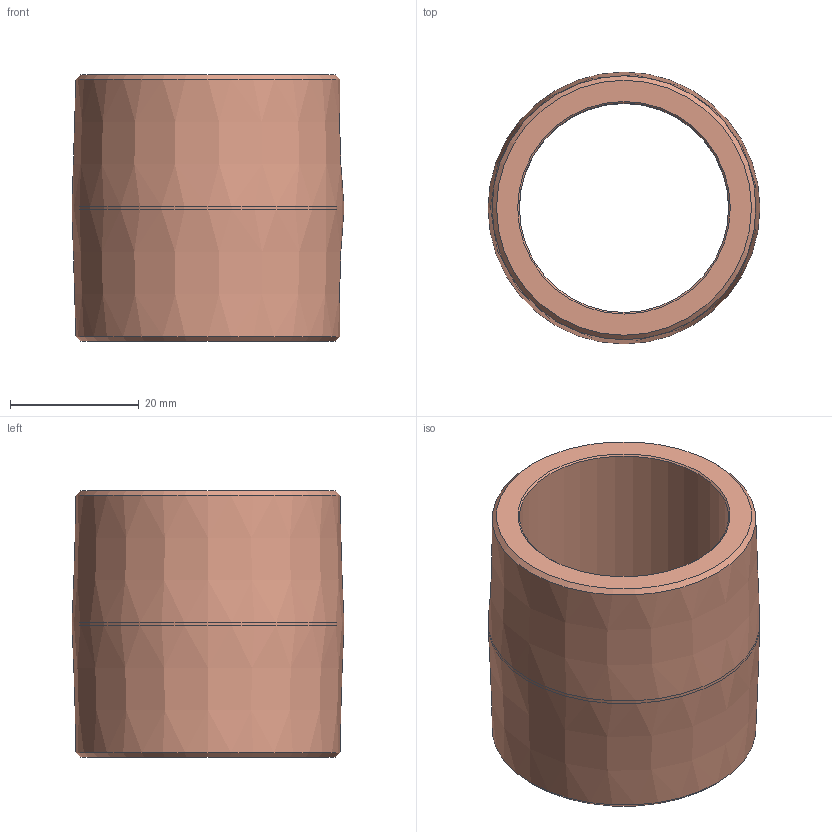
import cadquery as cq

length = 41.275
outer_radius = 42.164 / 2
bore_radius = 32.46 / 2
band_height = 0.5
taper_per_length = 1 / 32
end_chamfer = 0.7
bore_chamfer = 0.25

half_length = length / 2
half_band = band_height / 2
shoulder_z = half_length - end_chamfer
shoulder_radius = outer_radius - (shoulder_z - half_band) * taper_per_length
end_face_radius = shoulder_radius - end_chamfer
bore_mouth_radius = bore_radius + bore_chamfer
bore_edge_z = half_length - bore_chamfer


def make_nipple():
    """Revolve the wall section, taken on the -X side, about the Z axis."""
    upper_half = [
        (-outer_radius, half_band),
        (-shoulder_radius, shoulder_z),
        (-end_face_radius, half_length),
        (-bore_mouth_radius, half_length),
        (-bore_radius, bore_edge_z),
    ]
    lower_half = [(x, -z) for x, z in reversed(upper_half)]
    section = cq.Workplane("XZ").polyline(upper_half + lower_half).close()
    return section.revolve(360, (0, 0, 0), (0, 1, 0))


result = make_nipple()